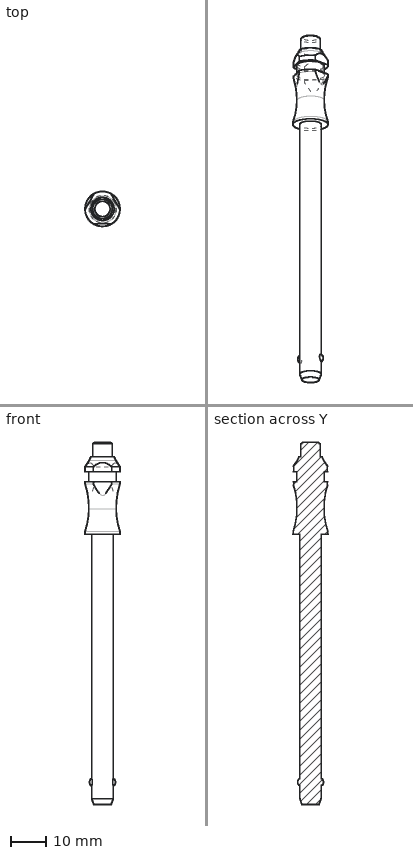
import cadquery as cq
import math

total_height = 103.2
button_chamfer = 0.4
button_base_z = 99.1
cone_break_z = 98.0
collar_top_z = 96.2
collar_base_z = 94.7
neck_base_z = 92.0
grip_top_rim_z = 91.3
waist_z = 84.3
grip_low_rim_z = 77.8
grip_base_z = 77.0
tip_chamfer_height = 1.7
ball_z = 6.4

button_radius = 2.8
button_tip_radius = 2.2
cone_top_radius = 3.3
cone_break_radius = 3.8
handle_radius = 5.01
neck_radius = 3.9
waist_radius = 3.9
shaft_radius = 3.1
tip_radius = 2.5

ball_radius = 1.2
ball_reach = 3.7
flat_distance = 4.2
flat_count = 3
flat_angles = [-90 + i * 360 / flat_count for i in range(flat_count)]


def flare_midpoint(rim_z):
    """Midpoint of the concave arc that leaves the waist parallel to the axis."""
    height = rim_z - waist_z
    flare = handle_radius - waist_radius
    arc_radius = (height**2 + flare**2) / (2 * flare)
    half_angle = math.asin(abs(height) / arc_radius) / 2
    radius = waist_radius + arc_radius * (1 - math.cos(half_angle))
    z = waist_z + math.copysign(arc_radius * math.sin(half_angle), height)
    return radius, z


def make_handle():
    """Revolved button, collar, neck and waisted grip."""
    profile = (
        cq.Workplane("XZ")
        .moveTo(0, grip_base_z)
        .lineTo(handle_radius, grip_base_z)
        .lineTo(handle_radius, grip_low_rim_z)
        .threePointArc(flare_midpoint(grip_low_rim_z), (waist_radius, waist_z))
        .threePointArc(flare_midpoint(grip_top_rim_z), (handle_radius, grip_top_rim_z))
        .lineTo(handle_radius, neck_base_z)
        .lineTo(neck_radius, neck_base_z)
        .lineTo(neck_radius, collar_base_z)
        .lineTo(handle_radius, collar_base_z)
        .lineTo(handle_radius, collar_top_z)
        .lineTo(cone_break_radius, cone_break_z)
        .lineTo(cone_top_radius, button_base_z)
        .lineTo(button_radius, button_base_z)
        .lineTo(button_radius, total_height - button_chamfer)
        .lineTo(button_tip_radius, total_height)
        .lineTo(0, total_height)
        .close()
    )
    return profile.revolve(360, (0, 0, 0), (0, 1, 0))


def flat_cutter(angle):
    """Block that shaves one flat on the upper grip and collar."""
    block_size = 2 * handle_radius
    cutter = cq.Workplane("XY").box(
        block_size, block_size, button_base_z - waist_z, centered=(False, True, False)
    )
    return cutter.translate((flat_distance, 0, waist_z)).rotate((0, 0, 0), (0, 0, 1), angle)


def make_shaft():
    """Round shaft with a tapered tip."""
    profile = (
        cq.Workplane("XZ")
        .lineTo(tip_radius, 0)
        .lineTo(shaft_radius, tip_chamfer_height)
        .lineTo(shaft_radius, grip_base_z)
        .lineTo(0, grip_base_z)
        .close()
    )
    return profile.revolve(360, (0, 0, 0), (0, 1, 0))


handle = make_handle()
for angle in flat_angles:
    handle = handle.cut(flat_cutter(angle))

result = handle.union(make_shaft())

for side in (-1, 1):
    ball_x = side * (ball_reach - ball_radius)
    result = result.union(cq.Workplane("XY").sphere(ball_radius).translate((ball_x, 0, ball_z)))